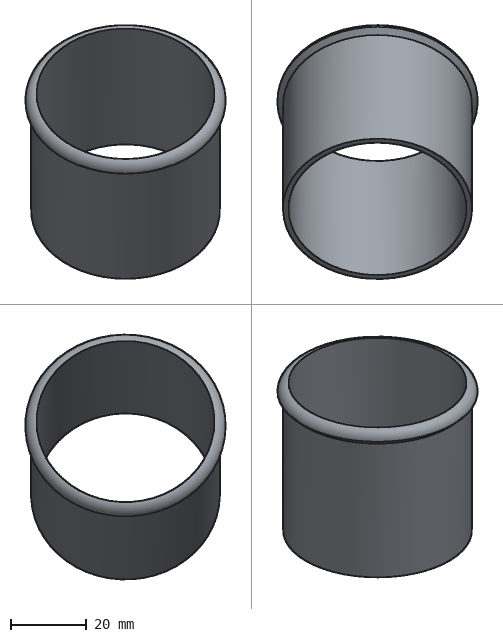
import cadquery as cq
import math

rim_diameter = 53.0
tube_diameter = 50.0
bore_diameter = 47.0
height = 45.0
rim_crown_height = 2.6

rim_radius = rim_diameter / 2
tube_radius = tube_diameter / 2
bore_radius = bore_diameter / 2

rim_widest_z = height - rim_crown_height
rim_bottom_z = rim_widest_z - (rim_radius - tube_radius)

crown_width = rim_radius - bore_radius
crown_radius = (crown_width**2 + rim_crown_height**2) / (2 * rim_crown_height)
crown_center_z = height - crown_radius
half_sweep = math.atan2(rim_crown_height, crown_width)
crown_middle = (
    bore_radius + crown_radius * math.sin(half_sweep),
    crown_center_z + crown_radius * math.cos(half_sweep),
)

section = (
    cq.Workplane("XZ")
    .moveTo(bore_radius, 0)
    .lineTo(tube_radius, 0)
    .lineTo(tube_radius, rim_bottom_z)
    .lineTo(rim_radius, rim_widest_z)
    .threePointArc(crown_middle, (bore_radius, height))
    .close()
)

result = section.revolve(360, (0, 0, 0), (0, 1, 0))